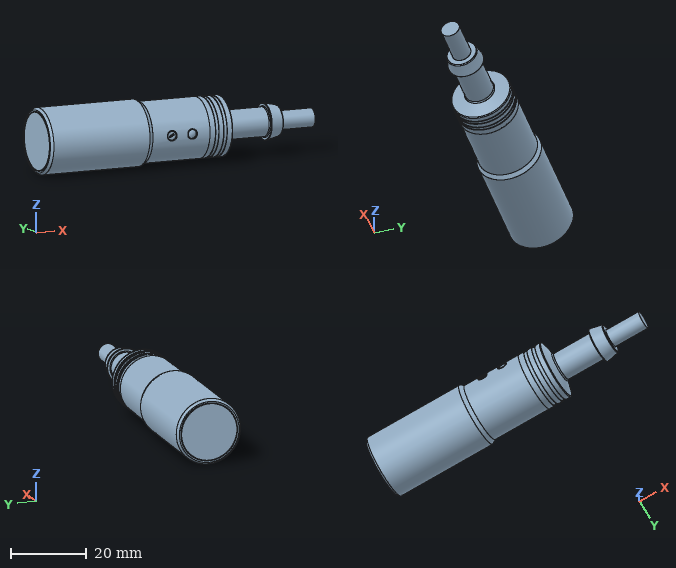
import cadquery as cq
import math

total_length = 80.5
head_dia = 18.0
barrel_dia = 16.6
core_dia = 15.85

front_chamfer_length = 0.7
front_chamfer_depth = 0.65
shoulder_start = 28.9
shoulder_end = 30.1
sleeve_end = 46.85
window_dia = 2.7

face_dia = 15.5
face_bevel = (core_dia - face_dia) / 2
groove_dia = 16.2
groove_width = 1.0
groove_starts = (48.55, 50.95)
cap_end = 53.6
cap_edge = 0.25
cone_end = 54.7
cone_end_dia = 8.45
root_bevel_length = 0.4
stem_dia = 8.0
barb_root_bevel = 0.25
barb_start = 66.5
barb_dia = 10.1
barb_edge = 0.2
barb_end = 70.4
barb_end_dia = 8.5
barb_end_bevel = 0.25
cable_dia = 5.15

screw_x = 35.8
lamp_x = screw_x + 5.95
screw_dia = 2.4
screw_top = 8.05
slot_length = 1.4
slot_width = 0.3
slot_depth = 0.4
slot_angle = 30.0
lamp_dia = 2.4
lamp_shoulder = 8.05
dome_height = 0.3


def turned(points):
    """Solid of revolution about X; points are (x, radius) from axis to axis."""
    return cq.Workplane("XY").polyline(points).close().revolve(360, (0, 0, 0), (1, 0, 0))


def side_plane(x, distance):
    """Workplane facing -Y at the given distance from the axis."""
    return cq.Workplane(cq.Plane(origin=(x, -distance, 0), xDir=(1, 0, 0), normal=(0, -1, 0)))


def make_sleeve():
    sleeve = turned([
        (0, 0),
        (0, head_dia / 2 - front_chamfer_depth),
        (front_chamfer_length, head_dia / 2),
        (shoulder_start, head_dia / 2),
        (shoulder_end, barrel_dia / 2),
        (sleeve_end, barrel_dia / 2),
        (sleeve_end, 0),
    ])
    bore = cq.Workplane("YZ").circle(core_dia / 2).extrude(sleeve_end)
    sleeve = sleeve.cut(bore)
    for x in (screw_x, lamp_x):
        sleeve = sleeve.cut(side_plane(x, 0).circle(window_dia / 2).extrude(head_dia))
    return sleeve


def make_core_body():
    body = turned([
        (0, 0),
        (0, face_dia / 2),
        (face_bevel, core_dia / 2),
        (sleeve_end, core_dia / 2),
        (sleeve_end, barrel_dia / 2),
        (cap_end - cap_edge, barrel_dia / 2),
        (cap_end, barrel_dia / 2 - cap_edge),
        (cone_end, cone_end_dia / 2),
        (cone_end + root_bevel_length, stem_dia / 2),
        (barb_start - barb_root_bevel, stem_dia / 2),
        (barb_start, stem_dia / 2 + barb_root_bevel),
        (barb_start, barb_dia / 2 - barb_edge),
        (barb_start + barb_edge, barb_dia / 2),
        (barb_end - barb_end_bevel, barb_end_dia / 2),
        (barb_end, barb_end_dia / 2 - barb_end_bevel),
        (barb_end, cable_dia / 2),
        (total_length, cable_dia / 2),
        (total_length, 0),
    ])
    for start in groove_starts:
        groove = (
            cq.Workplane("YZ", origin=(start, 0, 0))
            .circle(barrel_dia / 2)
            .circle(groove_dia / 2)
            .extrude(groove_width)
        )
        body = body.cut(groove)
    return body


def make_screw_and_slot():
    """Flat screw head standing clear of its window's wall, and the slanted slot across its top."""
    screw = side_plane(screw_x, 0).circle(screw_dia / 2).extrude(screw_top)
    slot = (
        side_plane(screw_x, screw_top)
        .transformed(rotate=(0, 0, slot_angle))
        .rect(slot_length, slot_width)
        .extrude(-slot_depth)
    )
    return screw, slot


def make_lamp():
    """Round lamp with a domed end, standing clear of its window's wall."""
    radius = lamp_dia / 2
    dome_radius = (radius**2 + dome_height**2) / (2 * dome_height)
    mid_angle = math.asin(radius / dome_radius) / 2
    dome_centre = lamp_shoulder + dome_height - dome_radius
    profile = (
        cq.Workplane("XY")
        .moveTo(lamp_x, 0)
        .lineTo(lamp_x + radius, 0)
        .lineTo(lamp_x + radius, -lamp_shoulder)
        .threePointArc(
            (lamp_x + dome_radius * math.sin(mid_angle), -dome_centre - dome_radius * math.cos(mid_angle)),
            (lamp_x, -lamp_shoulder - dome_height),
        )
        .close()
    )
    return profile.revolve(360, (lamp_x, 0, 0), (lamp_x, 1, 0))


def make_core():
    screw, slot = make_screw_and_slot()
    return make_core_body().union(screw).cut(slot).union(make_lamp())


sleeve = make_sleeve()
core = make_core()

result = cq.Compound.makeCompound([*sleeve.vals(), *core.vals()])